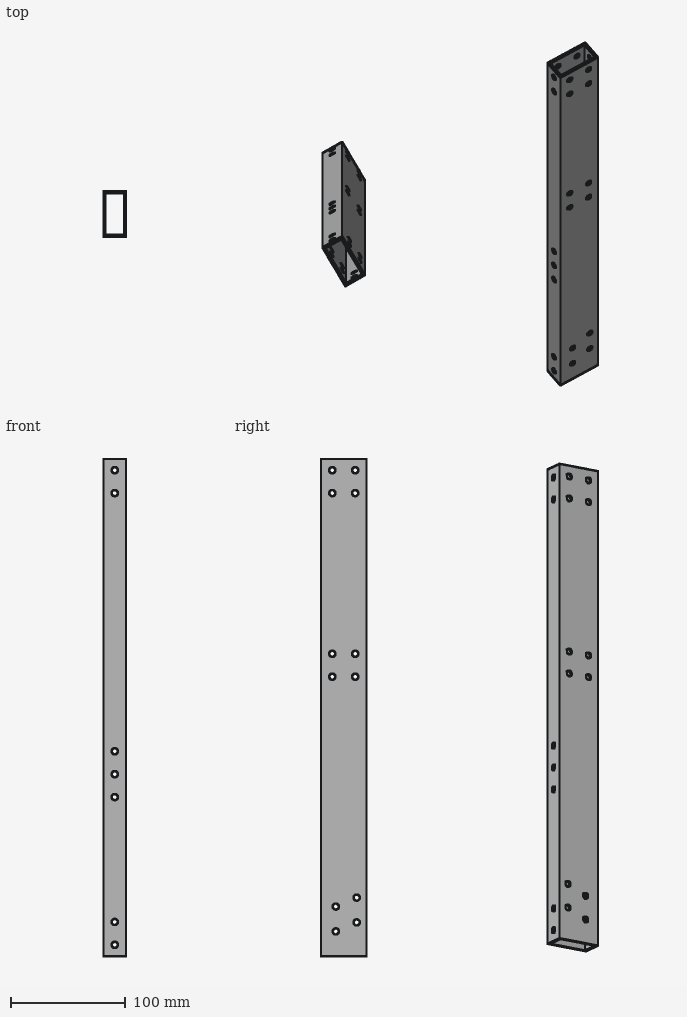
import cadquery as cq

width = 20.0
depth = 40.0
length = 433.5
wall = 2.0
hole_diameter = 5.0

pitch = width
edge_distance = pitch / 2
narrow_group_middle = 158.5
wide_group_bottom = 243.5
skew_low_y = -7.0
skew_high_y = 11.3
skew_low_z = 21.5
skew_rise = 8.0
skew_row_spacing = 21.5

end_heights = [length - edge_distance, length - edge_distance - pitch]


def tube():
    """Square-cornered tube, open at both ends."""
    outer = cq.Workplane("XY").rect(width, depth).extrude(length)
    bore = cq.Workplane("XY").rect(width - 2 * wall, depth - 2 * wall).extrude(length)
    return outer.cut(bore)


def through_holes(plane, points, span):
    """Round cutters crossing the whole tube, normal to the given plane."""
    return cq.Workplane(plane).pushPoints(points).circle(hole_diameter / 2).extrude(span, both=True)


narrow_heights = end_heights + [edge_distance + pitch, edge_distance]
narrow_heights += [narrow_group_middle + step * pitch for step in (-1, 0, 1)]
narrow_points = [(0, z) for z in narrow_heights]

wide_heights = end_heights + [wide_group_bottom, wide_group_bottom + pitch]
wide_points = [(side * pitch / 2, z) for side in (-1, 1) for z in wide_heights]

for row in range(2):
    row_z = skew_low_z + row * skew_row_spacing
    wide_points.append((skew_low_y, row_z))
    wide_points.append((skew_high_y, row_z + skew_rise))

result = (
    tube()
    .cut(through_holes("XZ", narrow_points, depth))
    .cut(through_holes("YZ", wide_points, width))
)